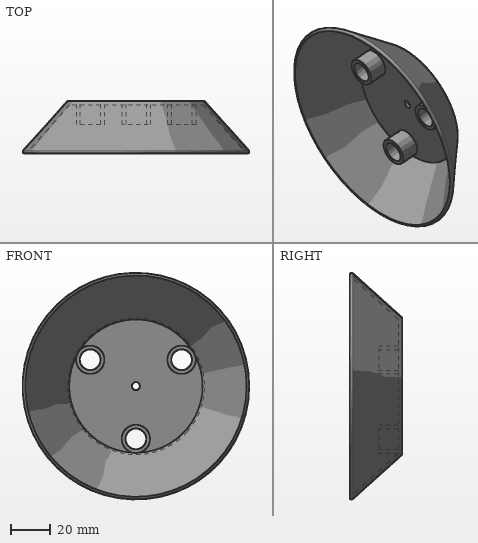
import cadquery as cq
import math

depth = 27.0
back_radius = 35.0
flare_angle = math.radians(42.0)
wall = 2.0
rim_fillet = 1.0

boss_count = 3
boss_circle_radius = 27.0
boss_diameter = 14.5
boss_bore = 10.5
boss_height = 10.0
first_boss_angle = -90.0
center_hole_diameter = 4.0

flare = math.tan(flare_angle)
floor_y = depth - wall
rim_outer_radius = back_radius + depth * flare
rim_inner_radius = rim_outer_radius - wall / math.cos(flare_angle)
floor_radius = rim_inner_radius - floor_y * flare


def cylinder_along_y(diameter, start_y, length, x=0.0, z=0.0):
    """Cylinder from start_y toward +Y, centered on (x, z)."""
    axis = cq.Vector(0, 1, 0)
    base = cq.Vector(x, start_y, z)
    return cq.Workplane(cq.Solid.makeCylinder(diameter / 2, length, base, axis))


def make_dish():
    """Revolved cup with the sharp outer edge of its rim rounded."""
    profile = [
        (0, depth),
        (back_radius, depth),
        (rim_outer_radius, 0),
        (rim_inner_radius, 0),
        (floor_radius, floor_y),
        (0, floor_y),
    ]
    cup = cq.Workplane("XY").polyline(profile).close().revolve(360, (0, 0, 0), (0, 1, 0))
    outer_rim_edge = cup.faces("<Y").edges(cq.selectors.RadiusNthSelector(-1))
    return outer_rim_edge.fillet(rim_fillet)


def boss_centers():
    """The (x, z) centers of the bosses, evenly spaced on their circle."""
    centers = []
    for index in range(boss_count):
        angle = math.radians(first_boss_angle + index * 360.0 / boss_count)
        x = boss_circle_radius * math.cos(angle)
        z = boss_circle_radius * math.sin(angle)
        centers.append((x, z))
    return centers


def add_bosses(body):
    """Bosses rooted in the floor, each bored through boss and floor."""
    boss_end_y = floor_y - boss_height
    length = depth - boss_end_y
    for x, z in boss_centers():
        body = body.union(cylinder_along_y(boss_diameter, boss_end_y, length, x, z))
        body = body.cut(cylinder_along_y(boss_bore, boss_end_y, length, x, z))
    return body


def cut_center_hole(body):
    """Hole through the middle of the floor."""
    return body.cut(cylinder_along_y(center_hole_diameter, floor_y, wall))


result = cut_center_hole(add_bosses(make_dish()))